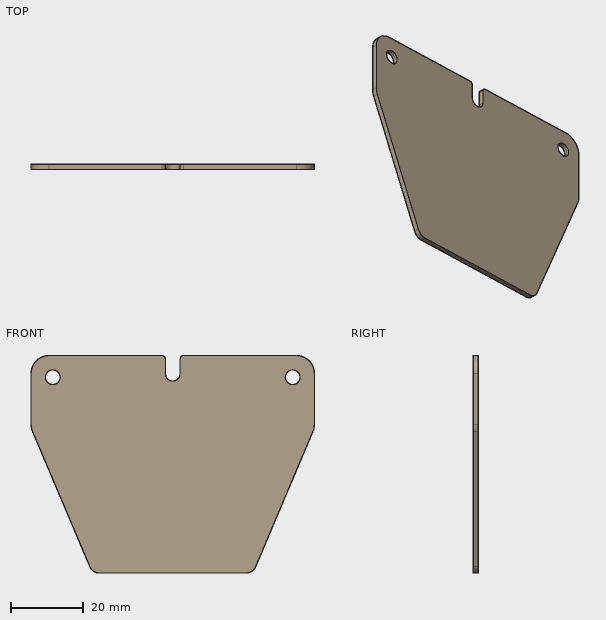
import cadquery as cq

width = 78.1
thickness = 1.5
height = 60.0

side_height = 20.0
bottom_width = 44.2
upper_corner_radius = 5.0
bottom_corner_radius = 3.0

hole_diameter = 4.0
hole_inset = 6.0

slot_width = hole_diameter
slot_depth = 7.0
slot_mouth_radius = 1.0

top = height / 2
bottom = -height / 2
bend = top - side_height
slot_radius = slot_width / 2
slot_center = top - slot_depth + slot_radius


def fillet_at(body, x, z, radius):
    """Round the through-thickness edges at (x, z) and at its mirror (-x, z)."""
    for side in (-1, 1):
        edge_point = (side * x, 0, z)
        body = body.edges(cq.selectors.NearestToPointSelector(edge_point)).fillet(radius)
    return body


plate = (
    cq.Workplane("XZ")
    .moveTo(-width / 2, top)
    .lineTo(-slot_radius, top)
    .lineTo(-slot_radius, slot_center)
    .threePointArc((0, top - slot_depth), (slot_radius, slot_center))
    .lineTo(slot_radius, top)
    .lineTo(width / 2, top)
    .lineTo(width / 2, bend)
    .lineTo(bottom_width / 2, bottom)
    .lineTo(-bottom_width / 2, bottom)
    .lineTo(-width / 2, bend)
    .close()
    .extrude(thickness / 2, both=True)
)

plate = fillet_at(plate, width / 2, top, upper_corner_radius)
plate = fillet_at(plate, width / 2, bend, upper_corner_radius)
plate = fillet_at(plate, bottom_width / 2, bottom, bottom_corner_radius)
plate = fillet_at(plate, slot_radius, top, slot_mouth_radius)

hole_x = width / 2 - hole_inset
hole_z = top - hole_inset
holes = (
    cq.Workplane("XZ")
    .pushPoints([(-hole_x, hole_z), (hole_x, hole_z)])
    .circle(hole_diameter / 2)
    .extrude(thickness, both=True)
)

result = plate.cut(holes)